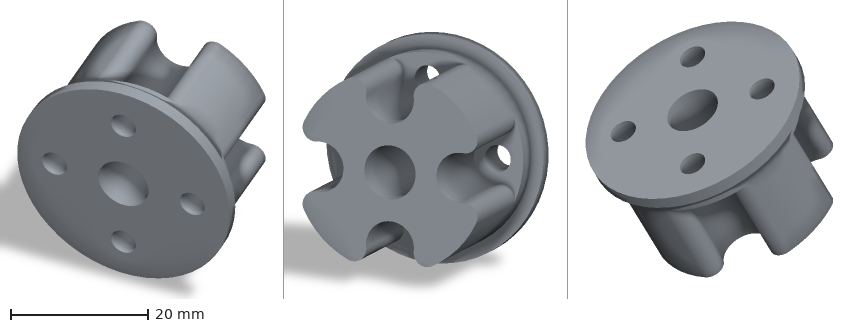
import cadquery as cq
import math

flange_diameter = 34.0
flange_thickness = 2.0
collar_diameter = 30.0
collar_length = 3.0
total_length = 20.0

bore_diameter = 8.02
bolt_hole_diameter = 4.0
bolt_circle_radius = 11.0

groove_count = 4
groove_radius = 3.75
groove_center_radius = bolt_circle_radius
lip_radius = 2.0

collar_radius = collar_diameter / 2
groove_start = flange_thickness + collar_length
groove_length = total_length - groove_start


def disc(diameter, start, length):
    """Cylinder along +Y from the given start."""
    return cq.Workplane("XZ", origin=(0, start, 0)).circle(diameter / 2).extrude(-length)


def groove():
    """Groove at +Z whose round floor blends into the boss through convex lips."""
    lip_center_radius = collar_radius - lip_radius
    center_distance = groove_radius + lip_radius
    lip_z = (groove_center_radius**2 + lip_center_radius**2 - center_distance**2) / (2 * groove_center_radius)
    lip_x = math.sqrt(lip_center_radius**2 - lip_z**2)

    outer_angle = math.atan2(lip_z, lip_x)
    inner_angle = math.atan2(groove_center_radius - lip_z, -lip_x)
    if inner_angle < 0:
        inner_angle += 2 * math.pi

    def lip_point(angle):
        return (lip_x + lip_radius * math.cos(angle), lip_z + lip_radius * math.sin(angle))

    outer_x, outer_z = lip_point(outer_angle)
    middle_x, middle_z = lip_point((outer_angle + inner_angle) / 2)
    inner_x, inner_z = lip_point(inner_angle)
    floor_z = groove_center_radius - groove_radius

    return (
        cq.Workplane("XZ", origin=(0, groove_start, 0))
        .moveTo(outer_x, outer_z)
        .threePointArc((middle_x, middle_z), (inner_x, inner_z))
        .threePointArc((0, floor_z), (-inner_x, inner_z))
        .threePointArc((-middle_x, middle_z), (-outer_x, outer_z))
        .threePointArc((0, collar_radius), (outer_x, outer_z))
        .close()
        .extrude(-groove_length)
    )


body = disc(flange_diameter, 0, flange_thickness)
body = body.union(disc(collar_diameter, flange_thickness, total_length - flange_thickness))

for index in range(groove_count):
    angle = index * 360 / groove_count
    body = body.cut(groove().rotate((0, 0, 0), (0, 1, 0), angle))

body = body.cut(disc(bore_diameter, 0, total_length))

bolt_holes = (
    cq.Workplane("XZ")
    .polarArray(bolt_circle_radius, 0, 360, groove_count)
    .circle(bolt_hole_diameter / 2)
    .extrude(-total_length)
)
result = body.cut(bolt_holes)